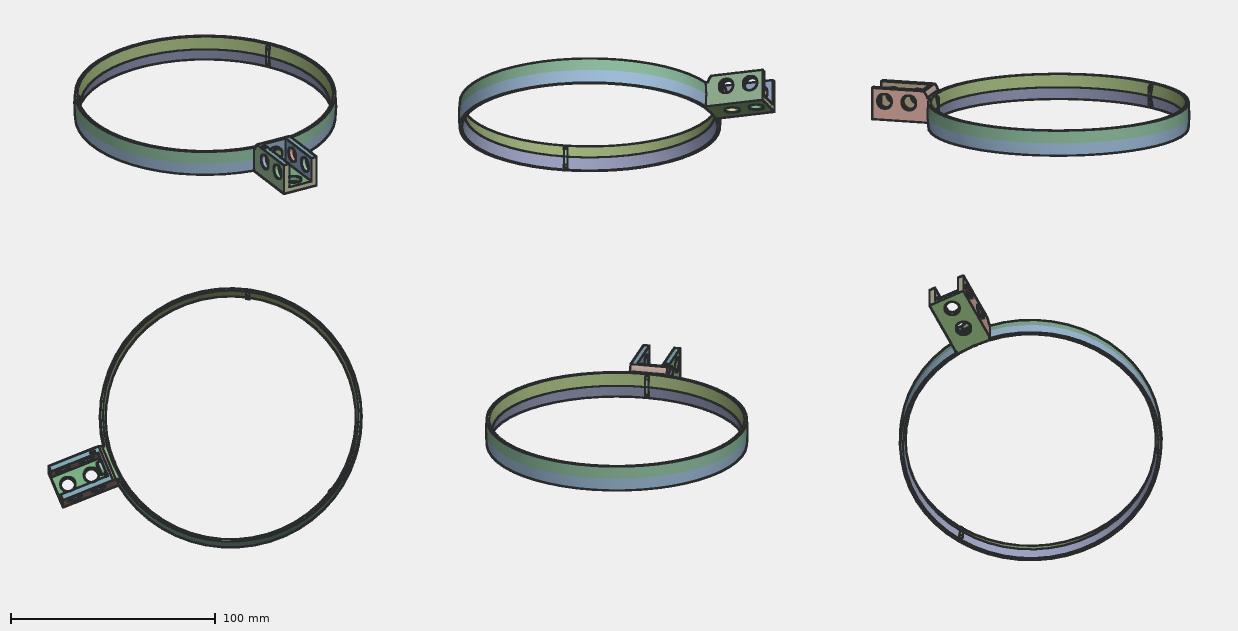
import cadquery as cq

ring_radius = 64.0
ring_height = 12.5
mid_height = ring_height / 2
outer_crown = 0.4
crown_bulge = 0.06
lip_thickness = 1.2
lip_outer_radius = ring_radius - outer_crown
lip_inner_radius = lip_outer_radius - lip_thickness
lip_middle_radius = (lip_outer_radius + lip_inner_radius) / 2
ridge_radius = 61.0

rib_count = 3
rib_width = 1.8
rib_setback = 0.1
rib_inner_radius = ridge_radius + rib_setback
rib_end_gap = 0.8
rib_end_slope = 1.4

bracket_end_x = 92.25
bracket_width = 18.5
bracket_height = 15.62
wall_thickness = 3.0
clevis_inner_x = 67.3
back_top_x = 65.9
back_foot_x = 64.15
back_sagitta = 0.25

hole_diameter = 7.0
hole_chamfer = 0.25
hole_count = 2
hole_spacing = 12.4
first_hole_x = 73.5
arm_hole_z = 9.4

stub_diameter = 6.5
stub_length = 2.4
stub_chamfer = 0.3

slot_length = 2.4
slot_width = 0.5
slot_depth = 0.5
slot_x = 69.8
slot_y = -7.65


full_turn = 360


def make_ring():
    return (
        cq.Workplane("XZ")
        .moveTo(lip_inner_radius, 0)
        .lineTo(lip_outer_radius, 0)
        .sagittaArc((ring_radius, mid_height), -crown_bulge)
        .sagittaArc((lip_outer_radius, ring_height), -crown_bulge)
        .lineTo(lip_inner_radius, ring_height)
        .lineTo(ridge_radius, mid_height)
        .close()
        .revolve(full_turn, (0, 0), (0, 1))
    )


def make_rib(angle):
    rib_bottom = rib_end_gap
    rib_top = ring_height - rib_end_gap
    return (
        cq.Workplane("XZ", origin=(0, rib_width / 2, 0))
        .moveTo(lip_middle_radius, rib_bottom)
        .lineTo(lip_inner_radius, rib_bottom)
        .lineTo(rib_inner_radius, rib_bottom + rib_end_slope)
        .lineTo(rib_inner_radius, rib_top - rib_end_slope)
        .lineTo(lip_inner_radius, rib_top)
        .lineTo(lip_middle_radius, rib_top)
        .close()
        .extrude(rib_width)
        .rotate((0, 0, 0), (0, 0, 1), angle)
    )


def make_bracket():
    block = (
        cq.Workplane("XZ", origin=(0, bracket_width / 2, 0))
        .moveTo(lip_middle_radius, 0)
        .lineTo(bracket_end_x, 0)
        .lineTo(bracket_end_x, bracket_height)
        .lineTo(back_top_x, bracket_height)
        .sagittaArc((back_foot_x, ring_height), -back_sagitta)
        .lineTo(lip_middle_radius, ring_height)
        .close()
        .extrude(bracket_width)
    )
    channel = cq.Workplane("XY", origin=(clevis_inner_x, 0, wall_thickness)).box(
        bracket_end_x - clevis_inner_x,
        bracket_width - 2 * wall_thickness,
        bracket_height,
        centered=(False, True, False),
    )
    return block.cut(channel)


def make_hole_cutter(plane, origin):
    """Hole through one wall, chamfered at both faces; runs from origin along the plane normal."""
    wide_diameter = hole_diameter + 2 * hole_chamfer
    bore = cq.Workplane(plane, origin=origin).circle(hole_diameter / 2).extrude(wall_thickness)
    first_chamfer = (
        cq.Workplane(plane, origin=origin)
        .circle(wide_diameter / 2)
        .workplane(offset=hole_chamfer)
        .circle(hole_diameter / 2)
        .loft()
    )
    second_chamfer = (
        cq.Workplane(plane, origin=origin)
        .workplane(offset=wall_thickness - hole_chamfer)
        .circle(hole_diameter / 2)
        .workplane(offset=hole_chamfer)
        .circle(wide_diameter / 2)
        .loft()
    )
    return bore.union(first_chamfer).union(second_chamfer)


def make_stub():
    return (
        cq.Workplane("YZ", origin=(clevis_inner_x, 0, arm_hole_z))
        .circle(stub_diameter / 2)
        .extrude(stub_length)
        .faces(">X")
        .chamfer(stub_chamfer)
    )


def make_slot_cutter():
    slot_floor = (slot_x, slot_y, bracket_height - slot_depth)
    return cq.Workplane("XY", origin=slot_floor).rect(slot_length, slot_width).extrude(slot_depth)


result = make_ring()
for rib_index in range(rib_count):
    result = result.union(make_rib(rib_index * full_turn / rib_count))
result = result.union(make_bracket()).union(make_stub())

positive_arm_outside = bracket_width / 2
negative_arm_inside = wall_thickness - bracket_width / 2
for hole_index in range(hole_count):
    hole_x = first_hole_x + hole_index * hole_spacing
    result = result.cut(make_hole_cutter("XY", (hole_x, 0, 0)))
    for arm_face_y in (positive_arm_outside, negative_arm_inside):
        result = result.cut(make_hole_cutter("XZ", (hole_x, arm_face_y, arm_hole_z)))

result = result.cut(make_slot_cutter())